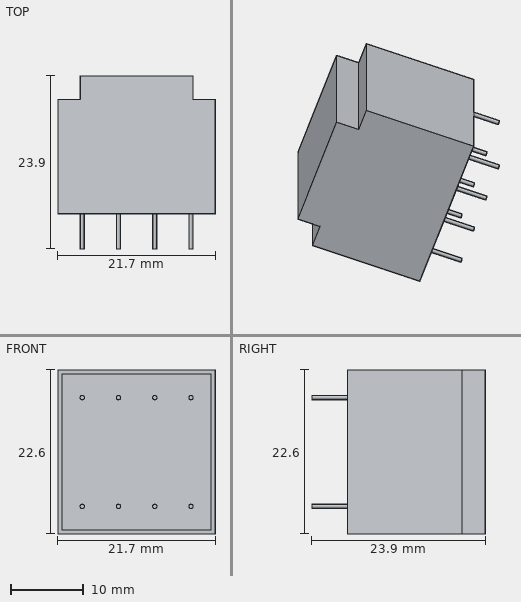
import cadquery as cq

width = 21.7
height = 22.6
total_depth = 23.9
pin_length = 4.88
case_depth = total_depth - pin_length
step_width = 15.58
step_depth = 3.25
main_depth = case_depth - step_depth

rim = 0.57
recess_depth = 0.07

pin_diameter = 0.6
pins_per_row = 4
pin_pitch = 5.0
row_spacing = 3 * pin_pitch


def block(size_x, size_z, y_start, y_end):
    """Block centred on X and Z, between two Y positions."""
    return (
        cq.Workplane("XY")
        .box(size_x, y_end - y_start, size_z, centered=(True, False, True))
        .translate((0, y_start, 0))
    )


def make_case():
    main = block(width, height, 0, main_depth)
    step = block(step_width, height, 0, case_depth)
    recess = block(width - 2 * rim, height - 2 * rim, 0, recess_depth)
    return main.union(step).cut(recess)


def make_pins():
    return (
        cq.Workplane("XZ", origin=(0, recess_depth, 0))
        .rarray(pin_pitch, row_spacing, pins_per_row, 2)
        .circle(pin_diameter / 2)
        .extrude(pin_length + recess_depth)
    )


result = make_case().union(make_pins())